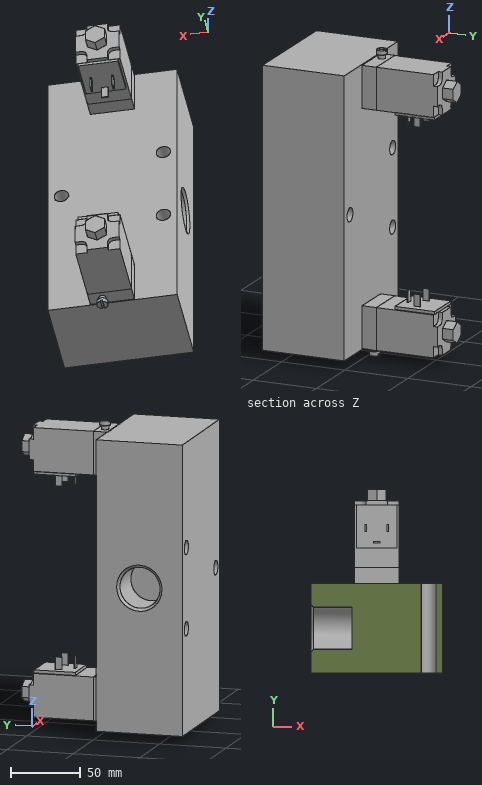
import cadquery as cq
import math


housing_width = 95.0
housing_depth = 65.0
middle_height = 124.8
mount_hole_diameter = 10.5
mount_hole_x = 37.5
mount_hole_z = 30.0
port_diameter = 30.2
port_mouth_diameter = 34.0
port_depth = 29.5

overall_height = 227.0
screw_stand_out = 6.5
section_to_coil_step = 0.7
coil_top = overall_height / 2 - screw_stand_out
section_bottom = middle_height / 2
section_top = coil_top + section_to_coil_step

coil_side = 32.5
base_length = 11.4
coil_end = 59.7
coil_mid_z = coil_top - coil_side / 2
coil_bottom = coil_top - coil_side
notch_side = 8.6
notch_depth = 3.2
notch_radius = 4.3

nut_across_flats = 14.0
nut_across_corners = nut_across_flats / math.cos(math.pi / 6)
nut_length = 8.5

pad_width = 29.5
pad_length = 31.3
pad_thickness = 2.3
pad_mid_y = 41.0
blade_width = 5.0
blade_thickness = 1.0
blade_length = 9.0
contact_x = 8.0
contact_y = 40.0
earth_y = 29.7

screw_x = -6.4
screw_y = 5.5
shank_diameter = 5.5
head_diameter = 8.0
head_height = 3.5
slot_width = 1.5
slot_depth = 1.1


def make_section(bottom, top):
    """Plain block with the housing's full rectangular section."""
    block = cq.Workplane("XY").box(housing_width, housing_depth, top - bottom, centered=(True, True, False))
    return block.translate((0, -housing_depth / 2, bottom))


def make_middle_section():
    """Middle section with three through mounting holes and a chamfered blind port."""
    middle = make_section(-middle_height / 2, middle_height / 2)
    hole_places = [(-mount_hole_x, -mount_hole_z), (-mount_hole_x, mount_hole_z), (mount_hole_x, 0)]
    holes = (
        cq.Workplane("XZ")
        .pushPoints(hole_places)
        .circle(mount_hole_diameter / 2)
        .extrude(housing_depth)
    )
    port_chamfer = (port_mouth_diameter - port_diameter) / 2
    port = (
        cq.Workplane("YZ", origin=(-housing_width / 2, -housing_depth / 2, 0))
        .circle(port_diameter / 2)
        .extrude(port_depth)
    )
    port_mouth = cq.Workplane(
        cq.Solid.makeCone(
            port_mouth_diameter / 2,
            port_diameter / 2,
            port_chamfer,
            pnt=cq.Vector(-housing_width / 2, -housing_depth / 2, 0),
            dir=cq.Vector(1, 0, 0),
        )
    )
    return middle.cut(holes).cut(port).cut(port_mouth)


def square_bar(start_y, end_y):
    """Bar along Y with the square section shared by the pilot base and the coil."""
    bar = cq.Workplane("XY").box(coil_side, end_y - start_y, coil_side, centered=(True, False, True))
    return bar.translate((0, start_y, coil_mid_z))


def make_override_screw():
    """Screw standing on the pilot base, slotted along Y."""
    shank = cq.Workplane("XY").circle(shank_diameter / 2).extrude(screw_stand_out)
    head_bottom = screw_stand_out - head_height
    head = cq.Workplane("XY", origin=(0, 0, head_bottom)).circle(head_diameter / 2).extrude(head_height)
    slot_mid_z = screw_stand_out - slot_depth / 2
    slot = cq.Workplane("XY").box(slot_width, head_diameter, slot_depth).translate((0, 0, slot_mid_z))
    return shank.union(head).cut(slot).translate((screw_x, screw_y, coil_top))


def make_coil():
    """Square coil with a round-cornered notch in each corner of its outer end."""
    coil = square_bar(base_length, coil_end)
    cutter_side = 2 * notch_side
    offset = coil_side / 2
    for x_sign in (-1, 1):
        for z_sign in (-1, 1):
            cutter = (
                cq.Workplane("XY")
                .box(cutter_side, notch_depth, cutter_side)
                .edges("|Y")
                .fillet(notch_radius)
                .translate((x_sign * offset, coil_end - notch_depth / 2, coil_mid_z + z_sign * offset))
            )
            coil = coil.cut(cutter)
    return coil


def make_nut():
    """Hexagonal nut with two corners on the coil's vertical mid plane."""
    nut = cq.Workplane("XZ").polygon(6, nut_across_corners).extrude(-nut_length)
    return nut.rotate((0, 0, 0), (0, 1, 0), 90).translate((0, coil_end, coil_mid_z))


def make_connector():
    """Pad under the coil with two contact blades and a crosswise earth blade."""
    pad_mid_z = coil_bottom - pad_thickness / 2
    pad = cq.Workplane("XY").box(pad_width, pad_length, pad_thickness)
    connector = pad.translate((0, pad_mid_y, pad_mid_z))
    blade_mid_z = coil_bottom - pad_thickness - blade_length / 2
    contact = cq.Workplane("XY").box(blade_thickness, blade_width, blade_length)
    for x in (-contact_x, contact_x):
        connector = connector.union(contact.translate((x, contact_y, blade_mid_z)))
    earth = cq.Workplane("XY").box(blade_width, blade_thickness, blade_length)
    return connector.union(earth.translate((0, earth_y, blade_mid_z)))


def half_turn(piece):
    """Copy of an upper piece turned half way round the Y axis to the lower end."""
    return piece.rotate((0, 0, 0), (0, 1, 0), 180)


def make_housing():
    """Middle section in one piece with both end sections, pilot bases and override screws."""
    upper_end = make_section(section_bottom, section_top)
    upper_end = upper_end.union(square_bar(0, base_length)).union(make_override_screw())
    housing = make_middle_section()
    for end in (upper_end, half_turn(upper_end)):
        housing = housing.union(end, clean=False)
    return housing


def make_solenoid():
    """Upper coil in one piece with its nut and connector."""
    return make_coil().union(make_nut()).union(make_connector())


housing = make_housing()

upper_solenoid = make_solenoid()
solenoids = []
for solenoid in (upper_solenoid, half_turn(upper_solenoid)):
    solenoids.append(solenoid.val())

result = cq.Compound.makeCompound([housing.val(), *solenoids])